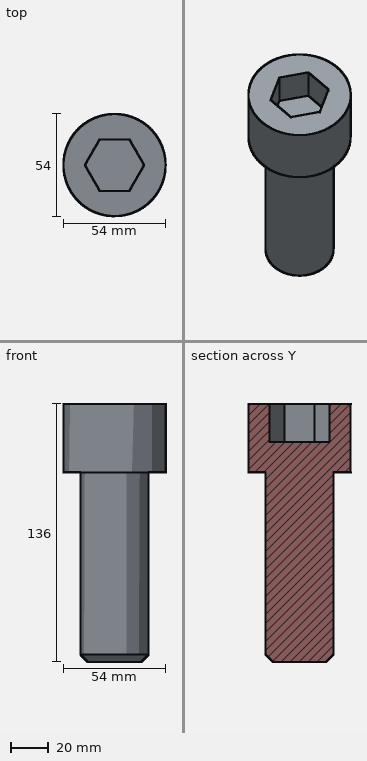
import math

import cadquery as cq

total_length = 136.0
head_diameter = 54.0
shank_diameter = 36.0
head_height = shank_diameter
tip_chamfer = 4.0
socket_across_flats = 27.0
socket_depth = 20.0

shank_length = total_length - head_height
socket_across_corners = socket_across_flats / math.cos(math.radians(30))


def make_shank():
    """Smooth shank with a chamfered tip."""
    shank = cq.Workplane("XY").circle(shank_diameter / 2).extrude(shank_length)
    return shank.faces("<Z").chamfer(tip_chamfer)


def make_head():
    """Plain cylindrical head on top of the shank."""
    return cq.Workplane("XY", origin=(0, 0, shank_length)).circle(head_diameter / 2).extrude(head_height)


def make_socket():
    """Blind hexagonal socket with two corners on the X axis."""
    top_plane = cq.Workplane("XY", origin=(0, 0, total_length))
    return top_plane.polygon(6, socket_across_corners).extrude(-socket_depth)


result = make_shank().union(make_head()).cut(make_socket())